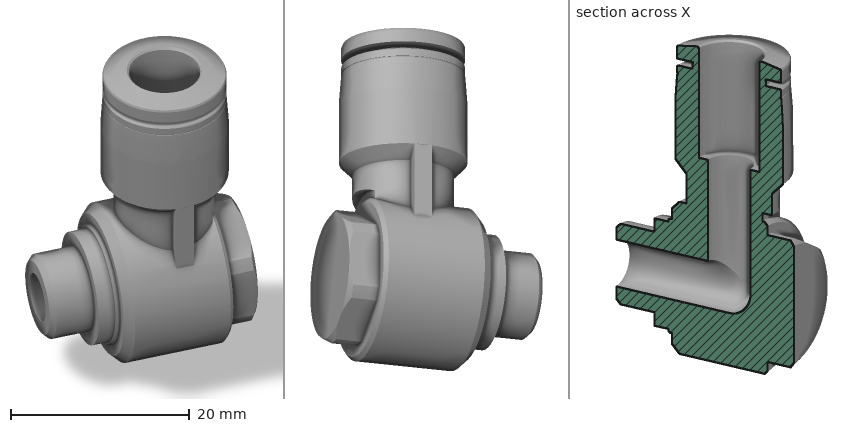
import cadquery as cq
import math


barrel_radius = 9.195
barrel_front = -7.65
barrel_back = 5.15
front_chamfer = 1.0
back_chamfer = 0.45

collar_radius = 6.9
collar_front = -8.1
collar_edge = 0.2
flange_radius = 6.5
flange_front = -10.0
stub_radius = 4.9
stub_chamfer = 0.6
bolt_front = -15.05
hex_across_flats = 14.0
hex_corner_radius = 7.67
hex_end_radius = 7.05
hex_chamfer_length = 0.5
bolt_back = 8.65

overall_height = 37.6
top = overall_height - barrel_radius
cap_radius = 6.95
cap_crown_radius = 4.3
cap_shoulder = top - 0.45
cap_edge_width = 0.1
cap_edge_height = 0.23
cap_bottom = 26.32
sleeve_radius = 4.905
sleeve_step_radius = 4.87
sleeve_step = 26.15
sleeve_bottom = 25.55
ring_edge = 0.15
groove_radius = 6.88
groove_top = 24.63
groove_bottom = 24.48
flare_top = 23.65
flare_top_radius = 7.05
flare_mid = 22.2
flare_mid_radius = 7.163
flare_bottom = 20.68
socket_radius = 7.2
socket_bottom = 14.2
neck_radius = 5.7
neck_top = socket_bottom - (socket_radius - neck_radius)

clearance_radius = 10.1
clearance_start = 4.47

rib_width = 2.05
rib_reach = 7.15

tube_bore_radius = 4.005
tube_bore_chamfer = 0.23
tube_bore_bottom = 15.05
flow_radius = 2.8


def revolve_about_z(points):
    return cq.Workplane("XZ").polyline(points).close().revolve(360, (0, 0, 0), (0, 1, 0))


def revolve_about_y(points):
    return cq.Workplane("XY").polyline(points).close().revolve(360, (0, 0, 0), (0, 1, 0))


def y_cylinder(radius, start, end):
    return cq.Workplane("XZ", origin=(0, start, 0)).circle(radius).extrude(start - end)


def make_barrel():
    return revolve_about_y([
        (0, barrel_back),
        (barrel_radius - back_chamfer, barrel_back),
        (barrel_radius, barrel_back - back_chamfer),
        (barrel_radius, barrel_front + front_chamfer),
        (barrel_radius - front_chamfer, barrel_front),
        (0, barrel_front),
    ])


def make_bolt_front():
    return revolve_about_y([
        (0, 0),
        (collar_radius, 0),
        (collar_radius, collar_front + collar_edge),
        (collar_radius - collar_edge, collar_front),
        (flange_radius, collar_front),
        (flange_radius, flange_front),
        (stub_radius, flange_front),
        (stub_radius, bolt_front + stub_chamfer),
        (stub_radius - stub_chamfer, bolt_front),
        (0, bolt_front),
    ])


def make_hexagon():
    """Hexagon with two flats facing X, turned down at its corners and rear edge."""
    corner_diameter = hex_across_flats / math.cos(math.pi / 6)
    prism = (
        cq.Workplane("XZ")
        .polygon(6, corner_diameter)
        .extrude(-bolt_back)
        .rotate((0, 0, 0), (0, 1, 0), 30)
    )
    turned_envelope = revolve_about_y([
        (0, 0),
        (hex_corner_radius, 0),
        (hex_corner_radius, bolt_back - hex_chamfer_length),
        (hex_end_radius, bolt_back),
        (0, bolt_back),
    ])
    return prism.intersect(turned_envelope)


def make_socket():
    """Release cap, sleeve, ring, flared body and neck in one revolved profile."""
    profile = cq.Workplane("XZ").polyline([
        (0, top),
        (cap_crown_radius, top),
        (cap_radius - cap_edge_width, cap_shoulder),
        (cap_radius, cap_shoulder - cap_edge_height),
        (cap_radius, cap_bottom),
        (sleeve_step_radius, cap_bottom),
        (sleeve_step_radius, sleeve_step),
        (sleeve_radius, sleeve_step),
        (sleeve_radius, sleeve_bottom),
        (cap_radius - ring_edge, sleeve_bottom),
        (cap_radius, sleeve_bottom - ring_edge),
        (cap_radius, groove_top),
        (groove_radius, groove_top),
        (groove_radius, groove_bottom),
        (cap_radius, groove_bottom),
        (flare_top_radius, flare_top),
    ])
    profile = profile.threePointArc((flare_mid_radius, flare_mid), (socket_radius, flare_bottom))
    for corner in [
        (socket_radius, socket_bottom),
        (neck_radius, neck_top),
        (neck_radius, 0),
        (0, 0),
    ]:
        profile = profile.lineTo(*corner)
    socket = profile.close().revolve(360, (0, 0, 0), (0, 1, 0))
    return socket.cut(y_cylinder(clearance_radius, clearance_start, bolt_back))


def make_ribs():
    rib_bottom = math.sqrt(barrel_radius**2 - rib_reach**2)
    return (
        cq.Workplane("XY", origin=(0, 0, rib_bottom))
        .rect(2 * rib_reach, rib_width)
        .extrude(socket_bottom - rib_bottom)
    )


def make_passages():
    """Tube bore and the narrower flow path, which turns forward on a ball end."""
    tube_bore = revolve_about_z([
        (0, top),
        (tube_bore_radius + tube_bore_chamfer, top),
        (tube_bore_radius, top - tube_bore_chamfer),
        (tube_bore_radius, tube_bore_bottom),
        (0, tube_bore_bottom),
    ])
    riser = cq.Workplane("XY").circle(flow_radius).extrude(tube_bore_bottom)
    outlet = y_cylinder(flow_radius, 0, bolt_front)
    elbow = cq.Workplane("XY").sphere(flow_radius)
    return tube_bore.union(riser).union(outlet).union(elbow)


body = make_barrel().union(make_bolt_front()).union(make_hexagon())
body = body.union(make_socket()).union(make_ribs())
result = body.cut(make_passages())